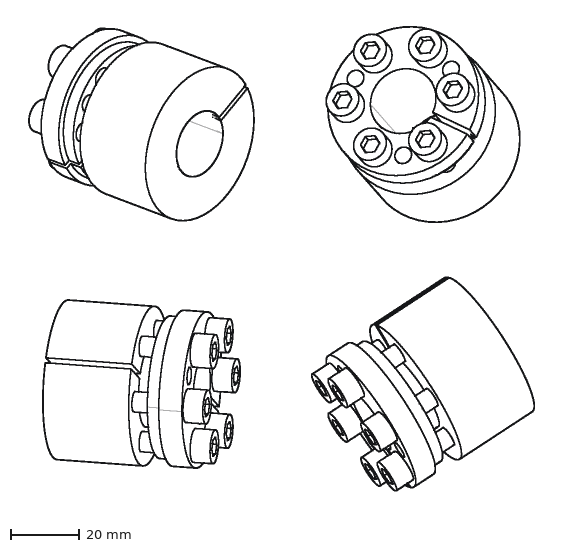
import cadquery as cq
import math


total_length = 48.0
head_height = 6.0
flange_thickness = 7.0
collar_thickness = 4.0
gap_width = 5.0

flange_start = head_height
collar_start = flange_start + flange_thickness
collar_end = collar_start + collar_thickness
ring_start = collar_end + gap_width
ring_end = total_length

ring_diameter = 47.0
flange_diameter = 46.0
collar_diameter = 42.0
bore_diameter = 20.0

taper_start_radius = 12.45
sleeve_tip_wall = 0.1
taper_end_radius = bore_diameter / 2 + sleeve_tip_wall
taper_slope = (taper_start_radius - taper_end_radius) / (ring_end - collar_end)
ring_mouth_radius = taper_start_radius - taper_slope * gap_width

slit_width = 1.5
bolt_circle_radius = 16.8
release_hole_diameter = 5.1
release_hole_angles = (30, 150, 270)

ring_slit_angle = 30
sleeve_slit_angle = ring_slit_angle + 180

screw_count = 6
head_diameter = 10.0
shank_diameter = 6.0
shank_length = 30.0
hex_across_flats = 5.0
hex_depth = 3.0
screw_angles = [i * 360 / screw_count for i in range(screw_count)]


def cylinder(start, length, diameter):
    """Cylinder on the X axis, from X = start toward +X."""
    return cq.Workplane("YZ", origin=(start, 0, 0)).circle(diameter / 2).extrude(length)


def revolve_about_x(profile):
    """Solid of revolution from a closed list of (X, radius) points."""
    return cq.Workplane("XY").polyline(profile).close().revolve(360, (0, 0, 0), (1, 0, 0))


def at_bolt_circle(shape, angle):
    """Move a shape lying on the X axis out to the bolt circle."""
    return shape.translate((0, bolt_circle_radius, 0)).rotate((0, 0, 0), (1, 0, 0), angle)


def radial_slit(angle):
    """Full-length slab from the X axis outward, cutting one side of a ring."""
    slab = cq.Workplane("XY").box(total_length, ring_diameter, slit_width, centered=(False, False, True))
    return slab.rotate((0, 0, 0), (1, 0, 0), angle)


def make_screw(angle):
    """Socket head screw with its head seated on the flange."""
    head = cylinder(0, head_height, head_diameter)
    shank = cylinder(head_height, shank_length, shank_diameter)
    hex_across_corners = hex_across_flats / math.cos(math.pi / 6)
    socket = cq.Workplane("YZ").polygon(6, hex_across_corners).extrude(hex_depth)
    return at_bolt_circle(head.union(shank).cut(socket), angle)


def cut_screw_holes(body):
    """Cut holes that fit the screw shanks."""
    for angle in screw_angles:
        hole = cylinder(head_height, shank_length, shank_diameter)
        body = body.cut(at_bolt_circle(hole, angle))
    return body


def make_flanged_sleeve():
    """Flange, smaller collar and tapered sleeve, bored through and slit on one side."""
    bore_radius = bore_diameter / 2
    body = revolve_about_x([
        (flange_start, bore_radius),
        (flange_start, flange_diameter / 2),
        (collar_start, flange_diameter / 2),
        (collar_start, collar_diameter / 2),
        (collar_end, collar_diameter / 2),
        (collar_end, taper_start_radius),
        (ring_end, taper_end_radius),
        (ring_end, bore_radius),
    ])
    body = cut_screw_holes(body)
    for angle in release_hole_angles:
        hole = cylinder(flange_start, flange_thickness + collar_thickness, release_hole_diameter)
        body = body.cut(at_bolt_circle(hole, angle))
    return body.cut(radial_slit(sleeve_slit_angle))


def make_clamp_ring():
    """Plain outer ring with a tapered bore, slit on the side opposite the sleeve's slit."""
    body = revolve_about_x([
        (ring_start, ring_mouth_radius),
        (ring_start, ring_diameter / 2),
        (ring_end, ring_diameter / 2),
        (ring_end, taper_end_radius),
    ])
    return cut_screw_holes(body).cut(radial_slit(ring_slit_angle))


flanged_sleeve = make_flanged_sleeve()
clamp_ring = make_clamp_ring()
screws = [make_screw(angle) for angle in screw_angles]

result = cq.Compound.makeCompound([
    flanged_sleeve.val(),
    clamp_ring.val(),
    *[screw.val() for screw in screws],
])